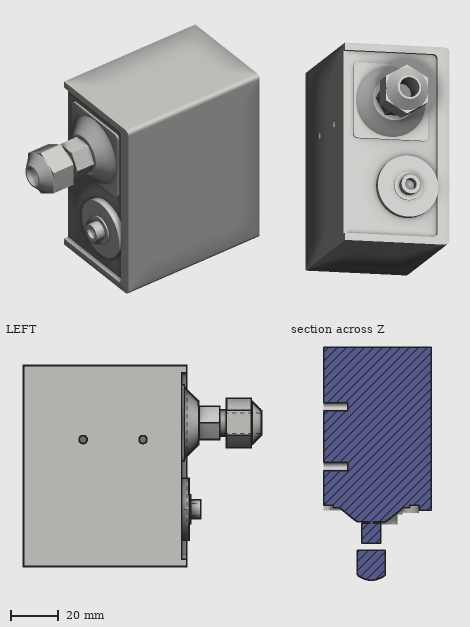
import cadquery as cq
import math


TOTAL_LENGTH = 99.5
WIDTH = 45.1
HEIGHT = 84.0
DEPTH = 68.3
CORNER_RADIUS = 2.0

RECESS_DEPTH = 2.1
RECESS_SIDE_WALL = 5.2
RECESS_END_WALL = 3.1

SCREW_DIAMETER = 3.3
SCREW_DEPTH = 9.95
SCREW_Z = 53.0
SCREW_FIRST_Y = 18.3
SCREW_SPACING = 25.0

GLAND_X = 20.0
GLAND_Z = HEIGHT - 24.0
PLATE_SIDE = 32.0
PLATE_THICKNESS = 1.0
PLATE_CORNER_RADIUS = 2.0
FLANGE_DIAMETER = 30.0
FLANGE_LENGTH = 6.0
WASHER_FACE = 0.3
HEX_FLATS = 14.0
HEX_LENGTH = 8.7
NECK_DIAMETER = 11.0
NECK_LENGTH = 2.7
NUT_FLATS = 18.0
NUT_TIP_DIAMETER = 10.0
NUT_BORE_DIAMETER = 8.5

DISC_DIAMETER = 26.0
DISC_LENGTH = 3.1
COLLAR_DIAMETER = 12.0
COLLAR_LENGTH = 0.7
PIN_DIAMETER = 8.0
PIN_LENGTH = 4.2
PIN_BORE_DIAMETER = 5.0
CONNECTOR_X = WIDTH - RECESS_SIDE_WALL - DISC_DIAMETER / 2
CONNECTOR_Z = 24.0


def front_plane(x, y, z):
    """Sketch plane facing -Y, with local x along +X and local y along +Z."""
    return cq.Workplane("XZ", origin=(x, y, z))


def cylinder(x, y, z, diameter, length):
    return front_plane(x, y, z).circle(diameter / 2).extrude(length)


def cone_45(x, y, z, base_diameter, length):
    """Truncated cone whose radius shrinks by its length."""
    base = front_plane(x, y, z).circle(base_diameter / 2)
    return base.workplane(offset=length).circle(base_diameter / 2 - length).loft(ruled=True)


def hexagon(x, y, z, flats, length, turn):
    """Hexagonal prism with its corners on the X axis, turned by an angle in degrees."""
    across_corners = flats / math.cos(math.pi / 6)
    prism = front_plane(x, y, z).polygon(6, across_corners).extrude(length)
    return prism.rotate((x, y, z), (x, y + 1, z), turn)


def make_housing():
    body = cq.Workplane("XY").box(WIDTH, DEPTH, HEIGHT, centered=False)
    body = body.edges("|Y and >X").fillet(CORNER_RADIUS)
    recess = cq.Workplane("XY").box(
        WIDTH - RECESS_SIDE_WALL, RECESS_DEPTH, HEIGHT - 2 * RECESS_END_WALL, centered=False
    )
    recess = recess.edges("|Y and >X").fillet(CORNER_RADIUS)
    body = body.cut(recess.translate((0, 0, RECESS_END_WALL)))
    for index in range(2):
        y = SCREW_FIRST_Y + index * SCREW_SPACING
        hole = cq.Workplane("YZ", origin=(0, y, SCREW_Z)).circle(SCREW_DIAMETER / 2).extrude(SCREW_DEPTH)
        body = body.cut(hole)
    return body


def make_gland():
    plate = front_plane(GLAND_X, RECESS_DEPTH, GLAND_Z).rect(PLATE_SIDE, PLATE_SIDE).extrude(PLATE_THICKNESS)
    gland = plate.edges("|Y").fillet(PLATE_CORNER_RADIUS)

    flange_y = RECESS_DEPTH - PLATE_THICKNESS
    washer_y = flange_y - FLANGE_LENGTH
    hex_y = washer_y - WASHER_FACE
    neck_y = hex_y - HEX_LENGTH
    nut_y = neck_y - NECK_LENGTH
    tip_y = DEPTH - TOTAL_LENGTH
    tip_cone_length = (NUT_FLATS - NUT_TIP_DIAMETER) / 2
    tip_cone_y = tip_y + tip_cone_length
    nut_face_y = tip_cone_y + WASHER_FACE

    gland = gland.union(cone_45(GLAND_X, flange_y, GLAND_Z, FLANGE_DIAMETER, FLANGE_LENGTH))
    gland = gland.union(cylinder(GLAND_X, washer_y, GLAND_Z, HEX_FLATS, WASHER_FACE))
    gland = gland.union(hexagon(GLAND_X, hex_y, GLAND_Z, HEX_FLATS, HEX_LENGTH, 0))
    gland = gland.union(cylinder(GLAND_X, neck_y, GLAND_Z, NECK_DIAMETER, NECK_LENGTH))
    gland = gland.union(hexagon(GLAND_X, nut_y, GLAND_Z, NUT_FLATS, nut_y - nut_face_y, 30))
    gland = gland.union(cylinder(GLAND_X, nut_face_y, GLAND_Z, NUT_FLATS, WASHER_FACE))
    gland = gland.union(cone_45(GLAND_X, tip_cone_y, GLAND_Z, NUT_FLATS, tip_cone_length))

    return gland.cut(cylinder(GLAND_X, nut_y, GLAND_Z, NUT_BORE_DIAMETER, nut_y - tip_y))


def make_connector():
    collar_y = RECESS_DEPTH - DISC_LENGTH
    pin_y = collar_y - COLLAR_LENGTH
    connector = cylinder(CONNECTOR_X, RECESS_DEPTH, CONNECTOR_Z, DISC_DIAMETER, DISC_LENGTH)
    connector = connector.union(cylinder(CONNECTOR_X, collar_y, CONNECTOR_Z, COLLAR_DIAMETER, COLLAR_LENGTH))
    connector = connector.union(cylinder(CONNECTOR_X, pin_y, CONNECTOR_Z, PIN_DIAMETER, PIN_LENGTH))

    return connector.cut(cylinder(CONNECTOR_X, pin_y, CONNECTOR_Z, PIN_BORE_DIAMETER, PIN_LENGTH))


result = make_housing().union(make_gland()).union(make_connector())